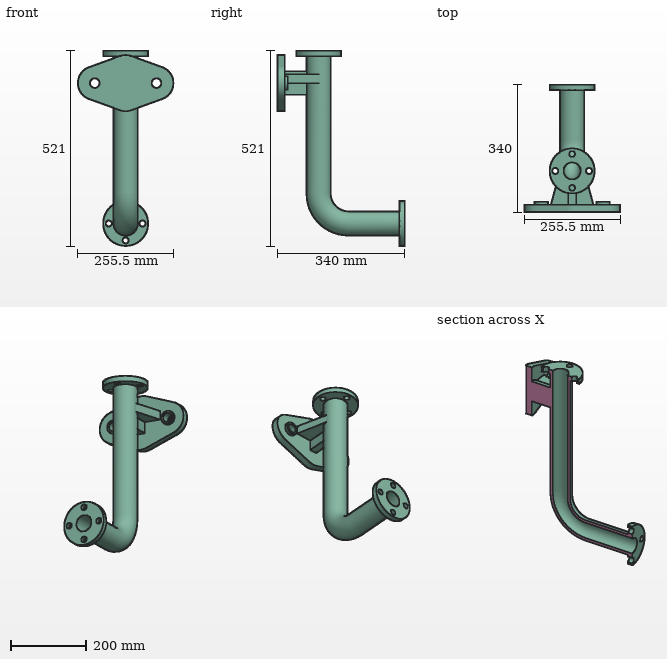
import cadquery as cq

total_height = 521.0
pipe_diameter = 65.0
bore_diameter = 45.5
elbow_radius = 80.0
horizontal_reach = 230.0

flange_diameter = 120.5
flange_thickness = 15.0
bolt_circle_diameter = 90.0
bolt_hole_diameter = 15.5
bolt_count = 4

plate_front_y = -110.0
plate_thickness = 20.5
plate_height = 150.0
plate_corner_radius = 45.5
plate_center_below_top = 86.5
mount_hole_spacing = 164.5
mount_hole_diameter = 25.0
pad_diameter = 36.5
pad_thickness = 8.0

gusset_width_at_plate = 113.5
gusset_thickness = 24.0
rib_width = 21.0
rib_height = 63.0
rib_top_below_top = 54.5

horizontal_axis_z = flange_diameter / 2
plate_center_z = total_height - plate_center_below_top
plate_back_y = plate_front_y + plate_thickness
mount_hole_points = [(-mount_hole_spacing / 2, 0), (mount_hole_spacing / 2, 0)]


def bent_rod(diameter):
    """Solid round bar following the centerline of the pipe."""
    centerline = (
        cq.Workplane("YZ")
        .moveTo(0, total_height)
        .lineTo(0, horizontal_axis_z + elbow_radius)
        .radiusArc((elbow_radius, horizontal_axis_z), -elbow_radius)
        .lineTo(horizontal_reach, horizontal_axis_z)
    )
    return cq.Workplane("XY", origin=(0, 0, total_height)).circle(diameter / 2).sweep(centerline)


def flange(face_plane):
    """Drilled disc behind a face plane whose normal points away from the pipe."""
    disc = cq.Workplane(face_plane).circle(flange_diameter / 2).extrude(-flange_thickness)
    bolt_holes = (
        cq.Workplane(face_plane)
        .polarArray(bolt_circle_diameter / 2, 0, 360, bolt_count)
        .circle(bolt_hole_diameter / 2)
        .extrude(-flange_thickness)
    )
    return disc.cut(bolt_holes)


def plate_plane(y):
    """Plane at the given Y, centered on the plate, with its normal toward +Y."""
    return cq.Plane(origin=(0, y, plate_center_z), xDir=(1, 0, 0), normal=(0, 1, 0))


def mounting_plate():
    """Rounded diamond plate with a drilled pad behind each mounting hole."""
    end_center_x = mount_hole_spacing / 2
    peak_center_z = plate_height / 2 - plate_corner_radius
    plate = (
        cq.Workplane(plate_plane(plate_front_y))
        .polyline([(end_center_x, 0), (0, peak_center_z), (-end_center_x, 0), (0, -peak_center_z)])
        .close()
        .offset2D(plate_corner_radius, "arc")
        .extrude(plate_thickness)
    )
    pads = (
        cq.Workplane(plate_plane(plate_back_y))
        .pushPoints(mount_hole_points)
        .circle(pad_diameter / 2)
        .extrude(pad_thickness)
    )
    holes = (
        cq.Workplane(plate_plane(plate_front_y))
        .pushPoints(mount_hole_points)
        .circle(mount_hole_diameter / 2)
        .extrude(plate_thickness + pad_thickness)
    )
    return plate.union(pads).cut(holes)


def gusset():
    """Horizontal web tapering from the plate to the pipe width at the pipe axis."""
    return (
        cq.Workplane("XY", origin=(0, 0, plate_center_z))
        .moveTo(-gusset_width_at_plate / 2, plate_back_y)
        .lineTo(gusset_width_at_plate / 2, plate_back_y)
        .lineTo(pipe_diameter / 2, 0)
        .lineTo(-pipe_diameter / 2, 0)
        .close()
        .extrude(gusset_thickness)
    )


def rib():
    """Vertical web crossing the gusset; its inner end is buried in the pipe."""
    rib_bottom_z = total_height - rib_top_below_top - rib_height
    return cq.Workplane("XY").box(
        rib_width, -plate_back_y, rib_height, centered=(True, False, False)
    ).translate((0, plate_back_y, rib_bottom_z))


top_face = cq.Plane(origin=(0, 0, total_height), xDir=(1, 0, 0), normal=(0, 0, 1))
rear_face = cq.Plane(
    origin=(0, horizontal_reach, horizontal_axis_z), xDir=(1, 0, 0), normal=(0, 1, 0)
)

result = (
    bent_rod(pipe_diameter)
    .union(flange(top_face))
    .union(flange(rear_face))
    .union(mounting_plate())
    .union(gusset())
    .union(rib())
    .cut(bent_rod(bore_diameter))
)